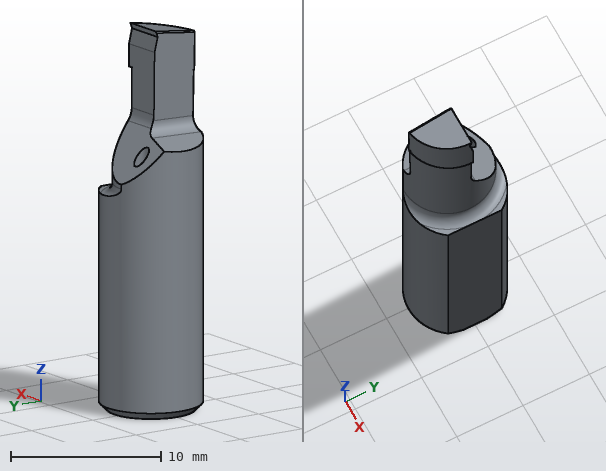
import cadquery as cq
import math

length = 26
shank_diameter = 7.0
shank_radius = shank_diameter / 2
width_across_flat = 6.35
flat_x = width_across_flat - shank_radius
bottom_chamfer = 0.52

neck_center_x = -1.2
neck_radius = 3.28
shoulder_z = 15.0
shoulder_fillet = 0.78

head_center = (-0.94, 0.05)
head_radius = 3.33
head_bottom_z = 23.0
head_bottom_angle = 2.4
top_slope_angle = 7.5

wall_top_x = -0.6
wall_lean_angle = 1.0
ledge_corner_z = 19.1
ledge_angle = 14
ledge_fillet = 1.0
relief_direction = cq.Vector(-0.035, 1, 0.043)
wall_edge_chamfer = 0.1

rake_y = 0.115
groove_start_z = 24.6
groove_bottom = (-0.13, 25.6)
cutting_edge_y = 0
rake_corner_z = 19.79
back_slope_angle = 49.5
rake_fillet = 1.3

hole_diameter = 1.0
hole_center = (-1.45, 1.8)

reach = shank_diameter


def cylinder(center, radius, bottom, top):
    return cq.Workplane("XY", origin=(*center, bottom)).circle(radius).extrude(top - bottom)


def make_shank():
    shank = cylinder((0, 0), shank_radius, 0, length).faces("<Z").chamfer(bottom_chamfer)
    flat_cut = cq.Workplane("XY").box(reach, 2 * reach, length, centered=(False, True, False))
    return shank.cut(flat_cut.translate((flat_x, 0, 0)))


def make_envelope():
    """Revolved limit of the shoulder and neck, joined with the cutting head.
    The bar blends into the neck at the neck centre, so the -X side keeps its full size."""
    fillet_top_z = shoulder_z + shoulder_fillet
    fillet_outer_radius = neck_radius + shoulder_fillet
    arc_offset = shoulder_fillet * (1 - math.sqrt(0.5))
    stem = (
        cq.Workplane("XZ", origin=(neck_center_x, 0, 0))
        .lineTo(reach, 0)
        .lineTo(reach, shoulder_z)
        .lineTo(fillet_outer_radius, shoulder_z)
        .threePointArc(
            (neck_radius + arc_offset, shoulder_z + arc_offset),
            (neck_radius, fillet_top_z),
        )
        .lineTo(neck_radius, length)
        .lineTo(0, length)
        .close()
        .revolve(360, (0, 0, 0), (0, 1, 0))
    )
    below_head = cq.Workplane("XY").box(2 * reach, 2 * reach, length, centered=(True, True, False))
    below_head = below_head.translate((0, 0, head_bottom_z - length))
    below_head = below_head.rotate((0, 0, head_bottom_z), (1, 0, head_bottom_z), head_bottom_angle)
    head = cylinder(head_center, head_radius, shoulder_z, length).cut(below_head)
    full_side = cq.Workplane("XY").box(reach, 2 * reach, length, centered=(False, True, False))
    return stem.union(head).union(full_side.translate((neck_center_x - reach, 0, 0)))


def make_side_relief():
    """Material beside the wall and above the ledge, swept slightly askew to Y."""
    wall_run = (length - ledge_corner_z) * math.tan(math.radians(wall_lean_angle))
    corner_x = wall_top_x + wall_run
    ledge_drop = (corner_x + reach) * math.tan(math.radians(ledge_angle))
    start = cq.Vector(0, 0, 0) - relief_direction * reach
    sweep = relief_direction * (2 * reach)
    top_z = length + reach
    top_x = corner_x - (top_z - ledge_corner_z) * math.tan(math.radians(wall_lean_angle))
    corners = [
        (corner_x, ledge_corner_z),
        (top_x, top_z),
        (-reach, top_z),
        (-reach, ledge_corner_z - ledge_drop),
    ]
    points = [cq.Vector(x, 0, z) + start for x, z in corners]
    face = cq.Face.makeFromWires(cq.Wire.makePolygon(points, close=True))
    relief = cq.Workplane(obj=cq.Solid.extrudeLinear(face, sweep))
    corner_edge = cq.selectors.NearestToPointSelector((corner_x, 0, ledge_corner_z))
    return relief.edges(corner_edge).fillet(ledge_fillet)


def make_rake_cut():
    """Material behind the rake face and above the back slope."""
    slope_drop = (reach - rake_y) * math.tan(math.radians(back_slope_angle))
    cut = (
        cq.Workplane("YZ", origin=(-reach, 0, 0))
        .polyline([
            (rake_y, rake_corner_z),
            (rake_y, groove_start_z),
            groove_bottom,
            (cutting_edge_y, length),
            (reach, length),
            (reach, rake_corner_z - slope_drop),
        ])
        .close()
        .extrude(2 * reach)
    )
    corner_edge = cq.selectors.NearestToPointSelector((0, rake_y, rake_corner_z))
    return cut.edges(corner_edge).fillet(rake_fillet)


def make_top_cut():
    """Material above the top face, which falls away toward -Y."""
    top_drop = reach * math.tan(math.radians(top_slope_angle))
    return (
        cq.Workplane("YZ", origin=(-reach, 0, 0))
        .polyline([(cutting_edge_y, length), (-reach, length), (-reach, length - top_drop)])
        .close()
        .extrude(2 * reach)
    )


result = make_shank().intersect(make_envelope())
result = result.cut(make_rake_cut()).cut(make_top_cut()).cut(make_side_relief())

wall_edge_middle = (wall_top_x, -shank_radius / 2, length)
result = result.edges(cq.selectors.NearestToPointSelector(wall_edge_middle)).chamfer(wall_edge_chamfer)

result = result.cut(cylinder(hole_center, hole_diameter / 2, 0, length))